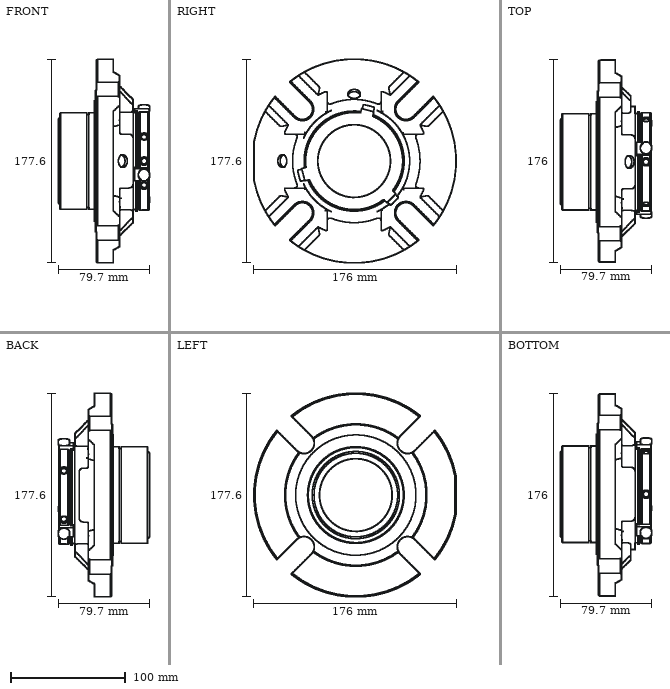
import cadquery as cq
import math

BORE_R = 31.52

TIP_FACE_R = 36.4
TIP_R = 38.0
TIP_LENGTH = 1.6
SLEEVE_R = 42.0
SLEEVE_EDGE = 0.7
GROOVE_R = 40.57
GROOVE_START_X = 25.0
GROOVE_END_X = 26.6

INNER_FACE_R = 52.4
INNER_FACE_X = 31.6
OUTER_FACE_R = 62.0
OUTER_FACE_X = 32.1
OUTER_FACE_CHAMFER = 0.9
FLANGE_R = 88.8
FLANGE_FRONT_X = 33.2
FLANGE_BACK_X = 48.1
FLANGE_CHAMFER = 1.0
FLAT_Y = -87.2

SEAT_X = 53.5
GLAND_BACK_X = 65.2
LOW_BOSS_BACK_X = 61.5
CONE_SEAT_R = 65.3
HUB_R = 48.3
BOSS_HALF_WIDTH = 23.5
BOSS_START_R = 35.5
BOSS_EDGE_RADIUS = 3.5
FOOT_RADIUS = 1.6
CONE_FOOT_RADIUS = 2.8

EAR_TOP_HALF_WIDTH = 18.3
EAR_BASE_HALF_WIDTH = 24.1
EAR_OVERLAP = 1.8
SLOT_HALF_WIDTH = 8.9
SLOT_CENTRE_R = 63.7
SLOT_CHAMFER = 1.0
DIAGONALS = [45, 135, 225, 315]

PORT_R = 5.5
PORT_DEPTH = 2.8
SIDE_PORT_X = 56.3
TOP_PORT_X = 60.4

SPACER_R = 42.3
SNAP_RING_R = 43.59
SNAP_RING_START_X = 67.5
SNAP_RING_END_X = 68.7
NECK_R = 37.3

COLLAR_R = 42.88
COLLAR_START_X = 70.0
COLLAR_END_X = 79.2
COLLAR_CHAMFER = 1.2
COLLAR_CHAMFER_DROP = 0.7
SCREW_X = 74.7

SCREW_ANGLES = [30, 90, 150, 180, 210, 270, 330]
SCREW_HOLE_R = 2.5
SCREW_MOUTH_R = 3.7
SCREW_RECESS_DEPTH = 1.0

CLIP_ANGLES = [75, 195, 315]
CLIP_WIDTH = 11.0
CLIP_START_X = 66.5
CLIP_INNER_R = 41.7
CLIP_OUTER_R = 45.8
CLIP_HEAD_R = 5.0
CLIP_HEAD_TOP_R = 49.7
CLIP_HEAD_ROUND = 0.9


def revolve_profile(profile):
    """Turn a closed (X, radius) outline about the X axis."""
    return profile.close().revolve(360, (0, 0, 0), (1, 0, 0))


def around_axis(shape, angle):
    """Rotate a shape modelled in the +Y direction towards +Z about the X axis."""
    return shape.rotate((0, 0, 0), (1, 0, 0), angle)


def tangential_plane(radius):
    """Plane facing +Y at the given radius; local x is X, local y is tangential."""
    return cq.Workplane(cq.Plane(origin=(0, radius, 0), xDir=(1, 0, 0), normal=(0, 1, 0)))


def cone_radius(x):
    return CONE_SEAT_R - (x - SEAT_X)


def make_sleeve():
    return revolve_profile(
        cq.Workplane("XY")
        .moveTo(0, 0)
        .lineTo(0, TIP_FACE_R)
        .lineTo(TIP_LENGTH, TIP_R)
        .lineTo(TIP_LENGTH, SLEEVE_R - SLEEVE_EDGE)
        .lineTo(TIP_LENGTH + SLEEVE_EDGE, SLEEVE_R)
        .lineTo(GROOVE_START_X, SLEEVE_R)
        .lineTo(GROOVE_START_X, GROOVE_R)
        .lineTo(GROOVE_END_X, GROOVE_R)
        .lineTo(GROOVE_END_X, SLEEVE_R)
        .lineTo(FLANGE_FRONT_X, SLEEVE_R)
        .lineTo(FLANGE_FRONT_X, 0)
    )


def make_flange():
    """Flange disc with a rim flat, four ears and two raised front faces."""
    disc = cq.Workplane("YZ", origin=(FLANGE_FRONT_X, 0, 0)).circle(FLANGE_R)
    disc = disc.extrude(FLANGE_BACK_X - FLANGE_FRONT_X)
    beyond_flat = (
        cq.Workplane("XY")
        .box(2 * FLANGE_R, FLANGE_R, 2 * FLANGE_R)
        .translate((0, FLAT_Y - FLANGE_R / 2, 0))
    )
    flange = disc.cut(beyond_flat).faces("<X").chamfer(FLANGE_CHAMFER).union(make_ears())
    raised = revolve_profile(
        cq.Workplane("XY")
        .moveTo(INNER_FACE_X, 0)
        .lineTo(INNER_FACE_X, INNER_FACE_R)
        .lineTo(OUTER_FACE_X, INNER_FACE_R)
        .lineTo(OUTER_FACE_X, OUTER_FACE_R - OUTER_FACE_CHAMFER)
        .lineTo(OUTER_FACE_X + OUTER_FACE_CHAMFER, OUTER_FACE_R)
        .lineTo(FLANGE_FRONT_X, OUTER_FACE_R)
        .lineTo(FLANGE_FRONT_X, 0)
    )
    return flange.union(raised)


def make_ears():
    """Thickened pads with sloping sides, flush with the rim, one on each diagonal."""
    bar = (
        tangential_plane(HUB_R)
        .polyline([
            (FLANGE_BACK_X - EAR_OVERLAP, -EAR_BASE_HALF_WIDTH),
            (FLANGE_BACK_X, -EAR_BASE_HALF_WIDTH),
            (SEAT_X, -EAR_TOP_HALF_WIDTH),
            (SEAT_X, EAR_TOP_HALF_WIDTH),
            (FLANGE_BACK_X, EAR_BASE_HALF_WIDTH),
            (FLANGE_BACK_X - EAR_OVERLAP, EAR_BASE_HALF_WIDTH),
        ])
        .close()
        .extrude(FLANGE_R)
    )
    ears = around_axis(bar, DIAGONALS[0])
    for angle in DIAGONALS[1:]:
        ears = ears.union(around_axis(bar, angle))
    rim = cq.Workplane("YZ").circle(FLANGE_R).extrude(GLAND_BACK_X)
    return ears.intersect(rim)


def make_cone():
    """Solid 45 degree cone blended into the back of the flange; it bounds the whole gland."""
    sin45 = math.sqrt(0.5)
    blend_length = CONE_FOOT_RADIUS * math.tan(math.pi / 8)
    foot_r = cone_radius(FLANGE_BACK_X)
    blend_x = FLANGE_BACK_X + blend_length * sin45
    mid_x = FLANGE_BACK_X + CONE_FOOT_RADIUS * (1 - math.cos(math.pi / 8))
    mid_r = foot_r + blend_length - CONE_FOOT_RADIUS * math.sin(math.pi / 8)
    return revolve_profile(
        cq.Workplane("XY")
        .moveTo(FLANGE_FRONT_X, 0)
        .lineTo(FLANGE_FRONT_X, foot_r + blend_length)
        .lineTo(FLANGE_BACK_X, foot_r + blend_length)
        .threePointArc((mid_x, mid_r), (blend_x, cone_radius(blend_x)))
        .lineTo(GLAND_BACK_X, cone_radius(GLAND_BACK_X))
        .lineTo(GLAND_BACK_X, 0)
    )


def make_hub():
    """Round hub with a blended foot on a wide disc that carries the bolt seats."""
    return revolve_profile(
        cq.Workplane("XY")
        .moveTo(FLANGE_FRONT_X, 0)
        .lineTo(FLANGE_FRONT_X, FLANGE_R)
        .lineTo(SEAT_X, FLANGE_R)
        .lineTo(SEAT_X, HUB_R + FOOT_RADIUS)
        .radiusArc((SEAT_X + FOOT_RADIUS, HUB_R), -FOOT_RADIUS)
        .lineTo(GLAND_BACK_X, HUB_R)
        .lineTo(GLAND_BACK_X, 0)
    )


def make_boss(back_x):
    """Bar with rounded edges along +Y, long enough to reach through the cone."""
    half = BOSS_HALF_WIDTH
    foot = half + FOOT_RADIUS
    shoulder_x = back_x - BOSS_EDGE_RADIUS
    top = half - BOSS_EDGE_RADIUS
    return (
        tangential_plane(BOSS_START_R)
        .moveTo(FLANGE_BACK_X, -foot)
        .lineTo(SEAT_X, -foot)
        .radiusArc((SEAT_X + FOOT_RADIUS, -half), FOOT_RADIUS)
        .lineTo(shoulder_x, -half)
        .radiusArc((back_x, -top), -BOSS_EDGE_RADIUS)
        .lineTo(back_x, top)
        .radiusArc((shoulder_x, half), -BOSS_EDGE_RADIUS)
        .lineTo(SEAT_X + FOOT_RADIUS, half)
        .radiusArc((SEAT_X, foot), FOOT_RADIUS)
        .lineTo(FLANGE_BACK_X, foot)
        .close()
        .extrude(FLANGE_R - BOSS_START_R)
    )


def make_gland():
    """Hub and four bosses, trimmed by the cone; the +Y boss is lower than the rest."""
    gland = make_hub().union(make_boss(LOW_BOSS_BACK_X))
    full_boss = make_boss(GLAND_BACK_X)
    for angle in (90, 180, 270):
        gland = gland.union(around_axis(full_boss, angle))
    return gland.intersect(make_cone())


def slot_outline(x, half_width):
    """Open slot along +Y with a round inner end."""
    end_r = 2 * FLANGE_R
    return (
        cq.Workplane("YZ", origin=(x, 0, 0))
        .moveTo(end_r, -half_width)
        .lineTo(SLOT_CENTRE_R, -half_width)
        .threePointArc((SLOT_CENTRE_R - half_width, 0), (SLOT_CENTRE_R, half_width))
        .lineTo(end_r, half_width)
        .close()
    )


def make_slot():
    """Bolt slot right through the flange, flared at the bolt seats."""
    slot = slot_outline(INNER_FACE_X, SLOT_HALF_WIDTH).extrude(SEAT_X - INNER_FACE_X)
    flare = slot_outline(SEAT_X, SLOT_HALF_WIDTH + SLOT_CHAMFER).extrude(-SLOT_CHAMFER, taper=45)
    return slot.union(flare)


def make_port(x):
    """Flat-bottomed port centred on the cone above +Y, sunk square to its surface."""
    plane = cq.Plane(origin=(x, cone_radius(x), 0), xDir=(0, 0, 1), normal=(1, 1, 0))
    return cq.Workplane(plane).circle(PORT_R).extrude(PORT_DEPTH, both=True)


def make_collar():
    """Spacer, snap ring, neck and drive collar in one turned piece."""
    edge_r = COLLAR_R - COLLAR_CHAMFER_DROP
    return revolve_profile(
        cq.Workplane("XY")
        .moveTo(GLAND_BACK_X, 0)
        .lineTo(GLAND_BACK_X, SPACER_R)
        .lineTo(SNAP_RING_START_X, SPACER_R)
        .lineTo(SNAP_RING_START_X, SNAP_RING_R)
        .lineTo(SNAP_RING_END_X, SNAP_RING_R)
        .lineTo(SNAP_RING_END_X, NECK_R)
        .lineTo(COLLAR_START_X, NECK_R)
        .lineTo(COLLAR_START_X, edge_r)
        .lineTo(COLLAR_START_X + COLLAR_CHAMFER, COLLAR_R)
        .lineTo(COLLAR_END_X - COLLAR_CHAMFER, COLLAR_R)
        .lineTo(COLLAR_END_X, edge_r)
        .lineTo(COLLAR_END_X, 0)
    )


def make_screw_recess():
    """Countersunk set screw recess in the collar, facing +Y."""
    floor_r = COLLAR_R - SCREW_RECESS_DEPTH
    return cq.Workplane(
        cq.Solid.makeCone(
            SCREW_HOLE_R, SCREW_MOUTH_R, SCREW_RECESS_DEPTH,
            cq.Vector(SCREW_X, floor_r, 0), cq.Vector(0, 1, 0),
        )
    )


def make_clip():
    """Setting clip on the +Y side: a flat plate held by a round screw head."""
    length = COLLAR_END_X - CLIP_START_X
    plate = (
        tangential_plane(CLIP_INNER_R)
        .center(CLIP_START_X + length / 2, 0)
        .rect(length, CLIP_WIDTH)
        .extrude(CLIP_OUTER_R - CLIP_INNER_R)
    )
    head = (
        tangential_plane(CLIP_OUTER_R)
        .center(SCREW_X, 0)
        .circle(CLIP_HEAD_R)
        .extrude(CLIP_HEAD_TOP_R - CLIP_OUTER_R)
        .faces(">Y")
        .edges()
        .fillet(CLIP_HEAD_ROUND)
    )
    return plate.union(head)


result = make_sleeve().union(make_flange()).union(make_gland())

slot = make_slot()
for angle in DIAGONALS:
    result = result.cut(around_axis(slot, angle))

result = result.cut(around_axis(make_port(TOP_PORT_X), 90))
result = result.cut(around_axis(make_port(SIDE_PORT_X), 180))

collar = make_collar()
screw_recess = make_screw_recess()
for angle in SCREW_ANGLES:
    collar = collar.cut(around_axis(screw_recess, angle))
result = result.union(collar)

clip = make_clip()
for angle in CLIP_ANGLES:
    result = result.union(around_axis(clip, angle))

bore = cq.Workplane("YZ").circle(BORE_R).extrude(COLLAR_END_X)
result = result.cut(bore)